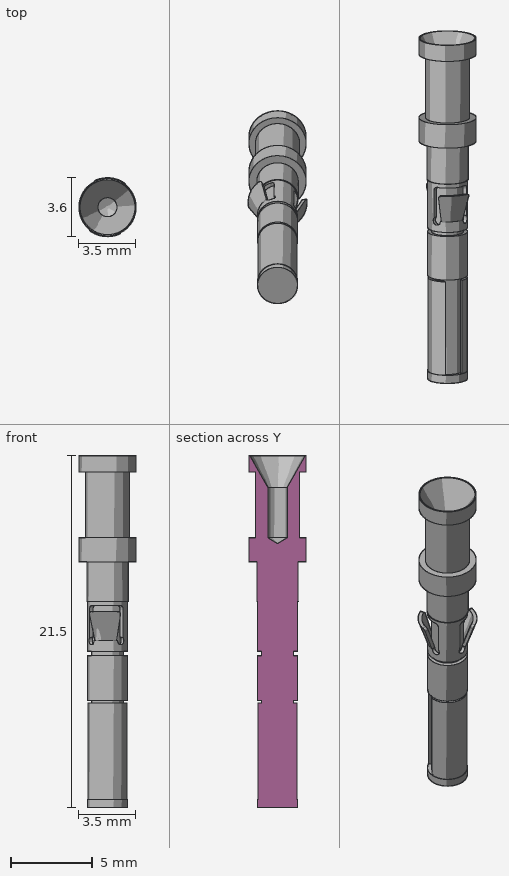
import cadquery as cq
import math

tip_cap_top = 0.52
tip_sleeve_top = 6.4
mid_ring_bottom = 6.54
mid_ring_top = 9.29
clip_sleeve_bottom = 9.55
clip_sleeve_top = 12.6
collar_bottom = 15.0
collar_top = 16.5
rim_bottom = 20.5
total_length = 21.5

rim_diameter = 3.5
rim_radius = rim_diameter / 2
neck_radius = 1.35
shank_radius = 1.27
sleeve_radius = 1.23
tip_sleeve_radius = 1.2
core_radius = 0.99

funnel_radius = 1.68
bore_radius = 0.58
funnel_depth = 1.94
bore_bottom = collar_top
drill_point_angle = 118.0

slit_width = 1.08

tab_count = 2
tab_turn = -6.0
window_bottom = 10.21
window_top = 12.35
window_half_angle = 57.0
window_corner_radius = 0.22
keyhole_radius = 0.25
keyhole_half_angle = 48.0
tab_half_angle = 33.0
tab_top = 11.98
tab_tip_radius = 1.8
tab_corner_radius = 0.17
tab_root_overlap = 0.1

sleeve_thickness = sleeve_radius - core_radius


def cylinder(radius, bottom, top):
    return cq.Workplane("XY").workplane(offset=bottom).circle(radius).extrude(top - bottom)


def sector(points, half_angle):
    """Turn a radius-height outline about Z, spread evenly on both sides of the -Y direction."""
    turned = cq.Workplane("XZ").polyline(points).close().revolve(2 * half_angle, (0, 0, 0), (0, 1, 0))
    return turned.rotate((0, 0, 0), (0, 0, 1), -90 - half_angle)


def window_cutter():
    outer = sleeve_radius + sleeve_thickness
    inner = core_radius - sleeve_thickness
    outline = [(inner, window_bottom), (outer, window_bottom), (outer, window_top), (inner, window_top)]
    cutter = sector(outline, window_half_angle)
    cutter = cutter.faces(">Z").edges("%LINE").fillet(window_corner_radius)
    for side in (-1, 1):
        keyhole = cq.Workplane("XZ").center(0, window_bottom).circle(keyhole_radius).extrude(outer)
        cutter = cutter.union(keyhole.rotate((0, 0, 0), (0, 0, 1), side * keyhole_half_angle))
    return cutter


def spring_tab():
    """Conical leaf that flares outwards from the lower edge of its window."""
    root_bottom = window_bottom - tab_root_overlap
    outline = [
        (core_radius, root_bottom),
        (sleeve_radius, root_bottom),
        (sleeve_radius, window_bottom),
        (tab_tip_radius, tab_top),
        (tab_tip_radius - sleeve_thickness, tab_top),
        (core_radius, window_bottom),
    ]
    tab = sector(outline, tab_half_angle)
    return tab.faces(">Z").edges("%LINE").fillet(tab_corner_radius)


def around_axis(shape, index):
    return shape.rotate((0, 0, 0), (0, 0, 1), tab_turn + index * 360 / tab_count)


def clip_sleeve():
    sleeve = cylinder(sleeve_radius, clip_sleeve_bottom, clip_sleeve_top)
    cutter = window_cutter()
    tab = spring_tab()
    for index in range(tab_count):
        sleeve = sleeve.cut(around_axis(cutter, index))
    for index in range(tab_count):
        sleeve = sleeve.union(around_axis(tab, index))
    return sleeve


def tip_sleeve():
    height = tip_sleeve_top - tip_cap_top
    slit = (
        cq.Workplane("XY")
        .workplane(offset=tip_cap_top)
        .center(0, tip_sleeve_radius / 2)
        .rect(slit_width, tip_sleeve_radius)
        .extrude(height)
    )
    return cylinder(tip_sleeve_radius, tip_cap_top, tip_sleeve_top).cut(slit)


def funnel_and_bore():
    funnel_bottom = total_length - funnel_depth
    point_depth = bore_radius / math.tan(math.radians(drill_point_angle / 2))
    return (
        cq.Workplane("XZ")
        .moveTo(0, total_length)
        .lineTo(funnel_radius, total_length)
        .lineTo(bore_radius, funnel_bottom)
        .lineTo(bore_radius, bore_bottom)
        .lineTo(0, bore_bottom - point_depth)
        .close()
        .revolve(360, (0, 0, 0), (0, 1, 0))
    )


result = (
    cylinder(core_radius, 0, clip_sleeve_top)
    .union(cylinder(sleeve_radius, 0, tip_cap_top))
    .union(tip_sleeve())
    .union(cylinder(sleeve_radius, mid_ring_bottom, mid_ring_top))
    .union(clip_sleeve())
    .union(cylinder(shank_radius, clip_sleeve_top, collar_bottom))
    .union(cylinder(rim_radius, collar_bottom, collar_top))
    .union(cylinder(neck_radius, collar_top, rim_bottom))
    .union(cylinder(rim_radius, rim_bottom, total_length))
    .cut(funnel_and_bore())
)